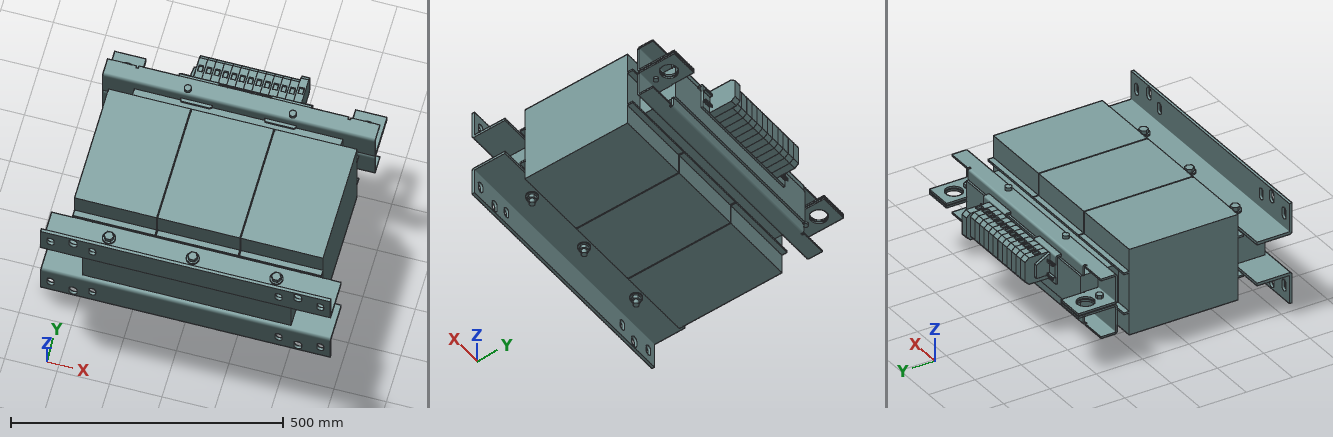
import cadquery as cq


core_length = 397.0
core_front = 10.5
core_depth = 399.0
core_height = 82.0
core_top = core_height / 2
core_middle_y = core_front + core_depth / 2

leg_pitch = 158.5
coil_gap = 2.0
coil_width = leg_pitch - coil_gap
coil_depth = 235.5
coil_height = 184.0
flange_sheet = 4.0
flange_depth = 259.0

angle_length = 552.0
angle_height = 66.5
angle_depth = 76.0
angle_thickness = 6.0
angle_bend = 6.0
angle_inner_bend = 1.0
angle_slot_height = 77.5 - core_top
outer_slot_x = 257.0
inner_slot_x = 177.5
raised_slot_x = 214.0
raised_slot_height = 91.0 - core_top
slot_width = 13.0
slot_length = 24.0
raised_slot_width = 15.0
raised_slot_length = 26.0

yoke_bolt_pitch = 159.5
yoke_bolt_y = 51.0
yoke_bolt_diameter = 11.0
yoke_bolt_end = -68.0
yoke_washer_diameter = 24.0
yoke_washer_thickness = 3.0
yoke_head_width = 18.5
yoke_head_height = 8.0

channel_length = 519.0
channel_front = 367.5
channel_back = 405.3
channel_top = 64.0
channel_thickness = 4.0
channel_bend = 6.0
lip_bend = 4.5
channel_half_gap = 1.0
lip_half_length = 200.0
relief_width = 4.0
relief_front = 399.0
flange_end_y = 403.0

tab_width = 60.0
tab_back = 452.0
tab_x = channel_length / 2 - tab_width / 2
lifting_hole_diameter = 35.0
lifting_hole_y = 417.5
tab_bolt_y = 387.5
tab_head_width = 15.0
tab_head_height = 7.0
tab_bolt_diameter = 10.0
tab_bolt_projection = 4.5

bracket_half_length = 126.0
bracket_top = 49.3
bracket_bottom = -11.5
bracket_thickness = 4.0
bracket_back = 417.6
foot_inner_x = 50.0
foot_outer_x = 110.0
foot_front = 361.0
foot_corner = 3.0
shoulder_front = 405.0

bracket_screw_x = 100.0
bracket_screw_y = 380.0
bracket_screw_diameter = 6.0
bracket_head_diameter = 13.0
bracket_head_height = 6.7

terminal_middle_z = 16.8
rail_height = 35.0
rail_base_height = 27.0
rail_depth = 7.0
rail_thickness = 1.5
rail_back = bracket_back + rail_depth

terminal_count = 12
terminal_pitch = 15.9
terminal_gap = 0.2
terminal_start_x = -100.0
terminal_height = 57.0
terminal_back = 468.0
end_terminal_width = 15.2
end_terminal_back = 476.5
terminal_chamfer_y = 8.5
terminal_chamfer_z = 7.5
recess_width = 8.5
recess_length = 13.0
recess_depth = 5.0
recess_setback = 29.5
end_recess_setback = 33.7
terminal_top = terminal_middle_z + terminal_height / 2

end_plate_thickness = 6.3
end_plate_back = 447.3
end_plate_shoulder = 28.5
end_plate_bottom = 0.0


def box(x_range, y_range, z_range):
    """Box between the given limits on each axis."""
    size = [high - low for low, high in (x_range, y_range, z_range)]
    corner = (x_range[0], y_range[0], z_range[0])
    return cq.Workplane("XY").box(*size, centered=False).translate(corner)


def cylinder(x, y, z_low, z_high, diameter):
    """Upright cylinder between two heights."""
    return cq.Workplane("XY", origin=(x, y, z_low)).circle(diameter / 2).extrude(z_high - z_low)


def hexagon(x, y, z_low, z_high, width):
    """Upright hexagonal prism, `width` across its corners, with two flats facing Y."""
    return cq.Workplane("XY", origin=(x, y, z_low)).polygon(6, width).extrude(z_high - z_low)


def extrude_along_x(points, x_start, length):
    """Prism along X from an outline of (Y, Z) points."""
    return cq.Workplane("YZ", origin=(x_start, 0, 0)).polyline(points).close().extrude(length)


def mirrored_pair(body):
    """The body together with its mirror image below mid-stack."""
    return body.union(body.mirror("XY"))


def make_core():
    return cq.Workplane("XY").box(core_length, core_depth, core_height).translate((0, core_middle_y, 0))


def make_coils():
    sheet_height = core_height + 2 * flange_sheet
    coils = cq.Workplane("XY")
    for index in (-1, 0, 1):
        centre = (index * leg_pitch, core_middle_y, 0)
        winding = cq.Workplane("XY").box(coil_width, coil_depth, coil_height).translate(centre)
        sheets = cq.Workplane("XY").box(coil_width, flange_depth, sheet_height)
        sheets = sheets.cut(cq.Workplane("XY").box(coil_width, flange_depth, core_height))
        coils = coils.union(winding).union(sheets.translate(centre))
    return coils


def make_mounting_angle():
    """Upper angle: one leg on the core, the other standing along the mounting face."""
    outline = [
        (0, 0),
        (angle_depth, 0),
        (angle_depth, angle_thickness),
        (angle_thickness, angle_thickness),
        (angle_thickness, angle_height),
        (0, angle_height),
    ]
    angle = extrude_along_x(outline, -angle_length / 2, angle_length)
    angle = angle.edges("|X and <Y and <Z").fillet(angle_bend)
    inner_corner = cq.selectors.NearestToPointSelector((0, angle_thickness, angle_thickness))
    angle = angle.edges(inner_corner).fillet(angle_inner_bend)
    slots = (
        (outer_slot_x, angle_slot_height, slot_length, slot_width),
        (inner_slot_x, angle_slot_height, slot_length, slot_width),
        (raised_slot_x, raised_slot_height, raised_slot_length, raised_slot_width),
    )
    for x, height, length, width in slots:
        cutter = (
            cq.Workplane("XZ")
            .pushPoints([(-x, height), (x, height)])
            .slot2D(length, width, 90)
            .extrude(-angle_thickness)
        )
        angle = angle.cut(cutter)
    return angle.translate((0, 0, core_top))


def make_yoke_bolts():
    face = core_top + angle_thickness
    washer_face = face + yoke_washer_thickness
    nut_face = washer_face + yoke_head_height
    bolts = cq.Workplane("XY")
    for index in (-1, 0, 1):
        x = index * yoke_bolt_pitch
        shank = cylinder(x, yoke_bolt_y, yoke_bolt_end, washer_face, yoke_bolt_diameter)
        washer = cylinder(x, yoke_bolt_y, face, washer_face, yoke_washer_diameter)
        head = hexagon(x, yoke_bolt_y, washer_face, nut_face, yoke_head_width)
        bolts = bolts.union(shank).union(mirrored_pair(washer.union(head)))
    return bolts


def make_channel():
    """Upper channel: web, outer flange with a lip resting on the core, and lifting tabs."""
    half_length = channel_length / 2
    hollow_back = channel_back - channel_thickness
    body = box((-half_length, half_length), (channel_front, channel_back), (channel_half_gap, channel_top))
    body = body.edges("|X and <Y").fillet(channel_bend)
    body = body.edges("|X and >Y and >Z").fillet(lip_bend)
    hollow_bottom = channel_half_gap + channel_thickness
    hollow_top = channel_top - channel_thickness
    hollow = box(
        (-half_length, half_length),
        (channel_front + channel_thickness, hollow_back),
        (hollow_bottom, hollow_top),
    )
    hollow = hollow.edges("|X and <Y").fillet(channel_bend - channel_thickness)
    body = body.cut(hollow)
    body = body.cut(box((-half_length, half_length), (hollow_back, channel_back), (0, core_top)))

    for side in (-1, 1):
        end = sorted((side * lip_half_length, side * half_length))
        relief = sorted((side * lip_half_length, side * (lip_half_length + relief_width)))
        body = body.cut(box(end, (flange_end_y, channel_back), (core_top, channel_top)))
        body = body.cut(box(end, (hollow_back, channel_back), (core_top, hollow_top)))
        body = body.cut(box(relief, (relief_front, channel_back), (core_top, channel_top)))
        tab = box(
            sorted((side * (half_length - tab_width), side * half_length)),
            (channel_front + channel_bend, tab_back),
            (channel_half_gap, hollow_bottom),
        )
        hole = cylinder(side * tab_x, lifting_hole_y, 0, hollow_bottom, lifting_hole_diameter)
        body = body.union(tab).cut(hole)
    return body


def make_tab_bolts():
    face = channel_half_gap + channel_thickness
    bolts = cq.Workplane("XY")
    for x in (-tab_x, tab_x):
        head = hexagon(x, tab_bolt_y, face, face + tab_head_height, tab_head_width)
        shank = cylinder(x, tab_bolt_y, -face - tab_bolt_projection, face, tab_bolt_diameter)
        bolts = bolts.union(head).union(shank)
    return bolts


def make_terminal_bracket():
    foot_bottom = bracket_top - bracket_thickness
    plate_front = bracket_back - bracket_thickness
    bracket = box(
        (-bracket_half_length, bracket_half_length),
        (plate_front, bracket_back),
        (bracket_bottom, foot_bottom - bracket_thickness),
    )
    foot = box((foot_inner_x, foot_outer_x), (foot_front, bracket_back), (foot_bottom, bracket_top))
    foot = foot.edges("|Z and <Y").chamfer(foot_corner)
    shoulder = box(
        (foot_inner_x, bracket_half_length),
        (shoulder_front, bracket_back),
        (foot_bottom, bracket_top),
    )
    upright = box(
        (foot_inner_x, bracket_half_length),
        (plate_front, bracket_back),
        (bracket_bottom, foot_bottom),
    )
    foot = foot.union(shoulder).union(upright)
    foot = foot.edges("|X and >Y and >Z").fillet(bracket_thickness)
    return bracket.union(foot).union(foot.mirror("YZ"))


def make_bracket_screws():
    screws = cq.Workplane("XY")
    head_top = channel_top + bracket_head_height
    for x in (-bracket_screw_x, bracket_screw_x):
        shank = cylinder(x, bracket_screw_y, core_top, channel_top, bracket_screw_diameter)
        head = cylinder(x, bracket_screw_y, channel_top, head_top, bracket_head_diameter)
        screws = screws.union(shank).union(head)
    return screws


def make_rail():
    """Hat section: base on the bracket, two lips turned outwards at the back."""
    base = rail_base_height / 2
    lip = rail_height / 2
    upper_half = [
        (bracket_back, base),
        (rail_back - rail_thickness, base),
        (rail_back - rail_thickness, lip),
        (rail_back, lip),
        (rail_back, base - rail_thickness),
        (bracket_back + rail_thickness, base - rail_thickness),
    ]
    lower_half = [(y, -z) for y, z in reversed(upper_half)]
    rail = extrude_along_x(upper_half + lower_half, -bracket_half_length, 2 * bracket_half_length)
    return rail.translate((0, 0, terminal_middle_z))


def make_terminal(x_start, width, back, setback):
    """One terminal: chamfered at the back, with a rectangular recess in its top."""
    half = terminal_height / 2
    outline = [
        (bracket_back, -half),
        (back - terminal_chamfer_y, -half),
        (back, terminal_chamfer_z - half),
        (back, half - terminal_chamfer_z),
        (back - terminal_chamfer_y, half),
        (bracket_back, half),
    ]
    body = extrude_along_x(outline, x_start, width).translate((0, 0, terminal_middle_z))
    recess = cq.Workplane("XY").box(recess_width, recess_length, 2 * recess_depth)
    return body.cut(recess.translate((x_start + width / 2, back - setback, terminal_top)))


def make_terminals():
    row_end = terminal_start_x + terminal_count * terminal_pitch
    terminals = make_terminal(row_end, end_terminal_width, end_terminal_back, end_recess_setback)
    for index in range(terminal_count):
        x_start = terminal_start_x + index * terminal_pitch
        width = terminal_pitch - terminal_gap
        terminals = terminals.union(make_terminal(x_start, width, terminal_back, recess_setback))
    end_plate = [
        (bracket_back, end_plate_bottom),
        (end_plate_back, end_plate_bottom),
        (end_plate_back, end_plate_shoulder),
        (bracket_back, terminal_top),
    ]
    plate_x = terminal_start_x - end_plate_thickness
    return terminals.union(extrude_along_x(end_plate, plate_x, end_plate_thickness))


result = (
    make_core()
    .union(make_coils())
    .union(mirrored_pair(make_mounting_angle()))
    .union(make_yoke_bolts())
    .union(mirrored_pair(make_channel()))
    .union(make_tab_bolts())
    .union(make_terminal_bracket())
    .union(make_bracket_screws())
    .union(make_rail())
    .union(make_terminals())
)